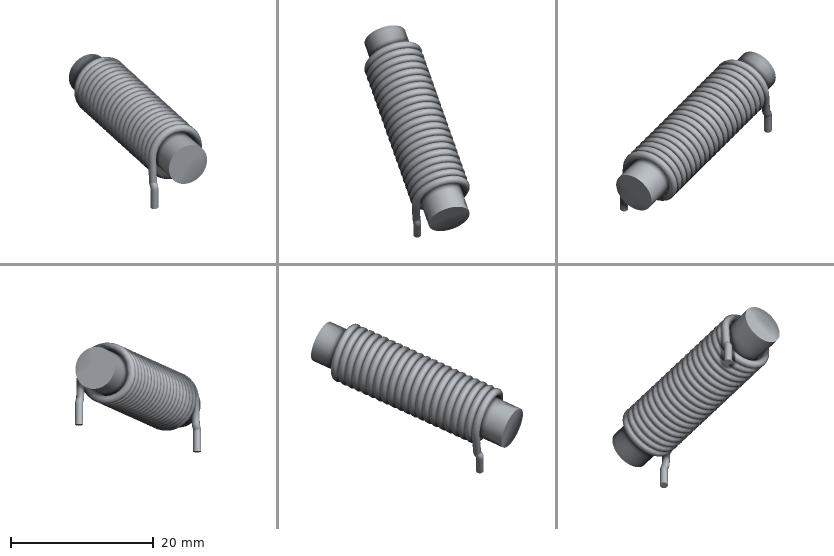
import cadquery as cq
import math

CORE_LENGTH = 30.9
CORE_DIAMETER = 6.0

WIRE_DIAMETER = 1.1
COIL_OUTER_DIAMETER = 8.6
COIL_PITCH = 1.15
COIL_TURNS = 20.5

LEAD_X = 12.4
LEAD_BOTTOM_Z = -7.3
BEND_TOP_Z = -3.3
BEND_RADIUS = 0.75
BEND_ANGLE = 45.0

wire_radius = WIRE_DIAMETER / 2
winding_radius = COIL_OUTER_DIAMETER / 2 - wire_radius
coil_length = COIL_PITCH * COIL_TURNS
coil_end_x = coil_length / 2

bend_angle_radians = math.radians(BEND_ANGLE)
arc_step_x = BEND_RADIUS * (1 - math.cos(bend_angle_radians))
arc_step_z = BEND_RADIUS * math.sin(bend_angle_radians)
bend_top_x = LEAD_X - 2 * arc_step_x
bend_bottom_z = BEND_TOP_Z - 2 * arc_step_z


def make_core():
    """Plain round rod."""
    return cq.Workplane("YZ", origin=(-CORE_LENGTH / 2, 0, 0)).circle(CORE_DIAMETER / 2).extrude(CORE_LENGTH)


def wire_section(x, y, z):
    """Horizontal circle of wire, shared by neighbouring wire stretches."""
    return cq.Workplane("XY", origin=(x, y, z)).circle(wire_radius)


def make_winding():
    """Right-handed helix along X, starting on the +Y side and ending on the -Y side."""
    coil_start = cq.Plane(origin=(-coil_end_x, 0, 0), xDir=(0, 1, 0), normal=(1, 0, 0))
    helix = cq.Wire.makeHelix(COIL_PITCH, coil_length, winding_radius).moved(cq.Location(coil_start))
    path = cq.Workplane("XY").newObject([helix])
    return wire_section(-coil_end_x, winding_radius, 0).sweep(path, isFrenet=True)


def make_lead():
    """Lead at the +X end: slanted stretch, S-bend outwards and upright foot."""
    lead_y = -winding_radius

    coil_end = wire_section(coil_end_x, lead_y, 0).wires().val()
    bend_top = wire_section(bend_top_x, lead_y, BEND_TOP_Z).wires().val()
    slanted = cq.Workplane(cq.Solid.makeLoft([coil_end, bend_top], True))

    upper_arc = wire_section(bend_top_x, lead_y, BEND_TOP_Z).revolve(
        BEND_ANGLE, (BEND_RADIUS, 0, 0), (BEND_RADIUS, -1, 0)
    )
    lower_arc = wire_section(LEAD_X, lead_y, bend_bottom_z).revolve(
        BEND_ANGLE, (-BEND_RADIUS, 0, 0), (-BEND_RADIUS, -1, 0)
    )
    foot = wire_section(LEAD_X, lead_y, bend_bottom_z).extrude(LEAD_BOTTOM_Z - bend_bottom_z)
    return slanted.union(upper_arc).union(lower_arc).union(foot)


def make_coil():
    """One continuous wire: winding with a lead at each end, half a turn about Z apart."""
    coil = make_winding()
    for lead_turn in (0, 180):
        coil = coil.union(make_lead().rotate((0, 0, 0), (0, 0, 1), lead_turn))
    return coil


core = make_core()
coil = make_coil()

result = cq.Compound.makeCompound([core.val(), *coil.solids().vals()])